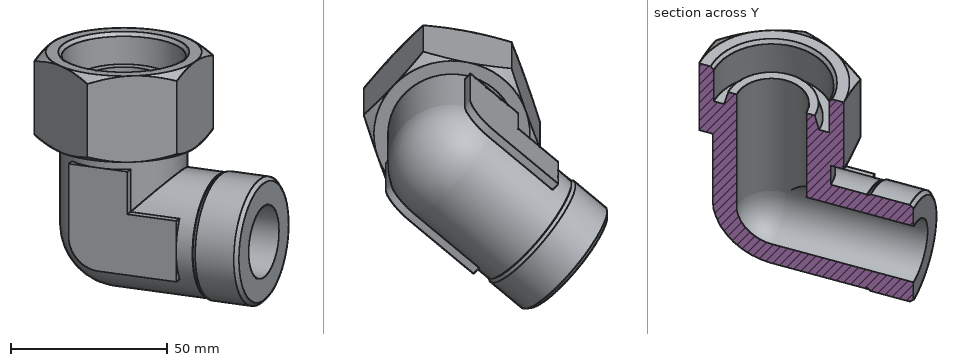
import cadquery as cq
import math

body_radius = 41.0 / 2
bore_radius = 24.0 / 2

collar_radius = 42.0 / 2
collar_end = 49.1
collar_length = 16.0
collar_chamfer = 1.25
collar_root_radius = 20.0
collar_start = collar_end - collar_length

overall_height = 78.5
nut_height = 29.05
nut_across_corners = 57.7
nut_across_flats = nut_across_corners * math.cos(math.pi / 6)
nut_bore_radius = 39.8 / 2
nut_mouth_radius = 42.0 / 2
nut_mouth_depth = 1.25
nut_bore_depth = 14.7
nut_top = overall_height - collar_radius
nut_bottom = nut_top - nut_height
nut_floor = nut_top - nut_bore_depth

nose_top_radius = 30.0 / 2
nose_base_radius = 33 / 2
nose_top = nut_top - 9.0

pad_half_width = body_radius / 2
pad_end_x = 27.4
pad_end_z = 24.6


def cylinder_z(radius, bottom, top):
    return cq.Workplane("XY").workplane(offset=bottom).circle(radius).extrude(top - bottom)


def cylinder_x(radius, start, end):
    return cq.Workplane("YZ").workplane(offset=start).circle(radius).extrude(end - start)


def cone_z(bottom_radius, top_radius, bottom, top):
    profile = [(0, bottom), (bottom_radius, bottom), (top_radius, top), (0, top)]
    return cq.Workplane("XZ").polyline(profile).close().revolve(360, (0, 0), (0, 1))


def make_collar():
    profile = [
        (collar_start, 0),
        (collar_start, collar_root_radius),
        (collar_start + collar_chamfer, collar_radius),
        (collar_end - collar_chamfer, collar_radius),
        (collar_end, collar_radius - collar_chamfer),
        (collar_end, 0),
    ]
    return cq.Workplane("XY").polyline(profile).close().revolve(360, (0, 0), (1, 0))


def make_nut():
    hexagon = (
        cq.Workplane("XY").workplane(offset=nut_bottom)
        .polygon(6, nut_across_corners).extrude(nut_height)
        .rotate((0, 0, 0), (0, 0, 1), 30)
    )
    flat_radius = nut_across_flats / 2
    corner_radius = nut_across_corners / 2
    corner_drop = (corner_radius - flat_radius) * math.tan(math.pi / 6)
    turned_profile = [
        (0, nut_bottom),
        (flat_radius, nut_bottom),
        (corner_radius, nut_bottom + corner_drop),
        (corner_radius, nut_top - corner_drop),
        (flat_radius, nut_top),
        (0, nut_top),
    ]
    turned = cq.Workplane("XZ").polyline(turned_profile).close().revolve(360, (0, 0), (0, 1))
    nut = hexagon.intersect(turned)
    nut = nut.cut(cylinder_z(nut_bore_radius, nut_floor, nut_top))
    return nut.cut(cone_z(nut_bore_radius, nut_mouth_radius, nut_top - nut_mouth_depth, nut_top))


def make_pads():
    return (
        cq.Workplane("XZ")
        .moveTo(-pad_half_width, pad_end_z)
        .lineTo(pad_half_width, pad_end_z)
        .lineTo(pad_half_width, pad_half_width)
        .lineTo(pad_end_x, pad_half_width)
        .lineTo(pad_end_x, -pad_half_width)
        .lineTo(0, -pad_half_width)
        .radiusArc((-pad_half_width, 0), pad_half_width)
        .close()
        .extrude(body_radius, both=True)
    )


def make_elbow(radius, end_x, end_z):
    elbow = cq.Workplane("XY").sphere(radius)
    return elbow.union(cylinder_x(radius, 0, end_x)).union(cylinder_z(radius, 0, end_z))


outside = (
    make_elbow(body_radius, collar_start, nut_bottom)
    .union(make_pads())
    .union(make_collar())
    .union(make_nut())
    .union(cone_z(nose_base_radius, nose_top_radius, nut_floor, nose_top))
)
result = outside.cut(make_elbow(bore_radius, collar_end, nut_top))